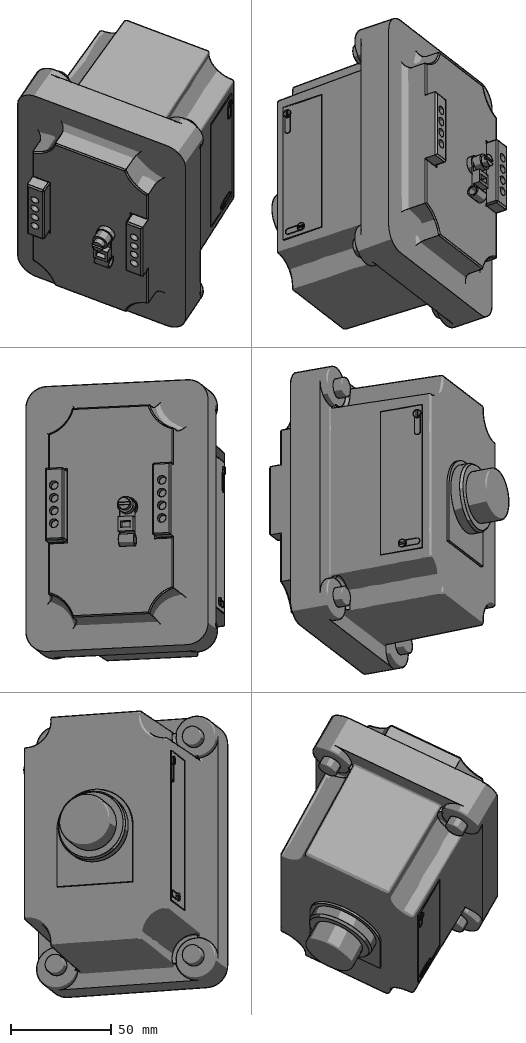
import cadquery as cq
import math


pick_margin = 0.1

flange_width = 93.7
flange_height = 134.9
flange_edge_depth = 16.6
corner_radius = 10.7
corner_x = flange_width / 2 - corner_radius
corner_z = flange_height / 2 - corner_radius
roof_rise = 1.6

boss_back = 20.8
boss_edge_radius = 1.1
boss_root_radius = 1.6
screw_x = 35.7
screw_z = 56.1
screw_head_radius = 5.0
screw_head_height = 5.1
screw_head_edge_radius = 0.7

body_back = 73.6
body_back_width = 75.0
body_back_height = 117.9
body_taper = 1.0
body_notch_radius = 12.5
body_corner_radius = 1.1
body_back_radius = 1.8
body_root_radius = 1.1
body_front = flange_edge_depth
body_spread = (body_back - body_front) * math.tan(math.radians(body_taper))

panel_width = 64.5
panel_height = 106.3
panel_front = -12.7
panel_notch_radius = 17.8
panel_root_radius = 4.7
panel_edge = 0.7
panel_notch_x = panel_width / 2 + panel_root_radius
panel_notch_z = panel_height / 2 + panel_root_radius

block_width = 9.5
block_top = 22.1
block_bottom = -14.5
block_front = -18.9
block_edge = 0.8
block_recess_width = 9.8
block_recess_top = 22.5
block_recess_bottom = -15.2
pin_hole_radius = 2.2
pin_hole_depth = 4.0
pin_hole_x = 27.8
pin_hole_top_z = 13.2
pin_hole_pitch = 6.5
pin_hole_count = 4

backing_radius = 19.7
backing_bottom = -29.0
backing_thickness = 1.2
collar_radius = 17.5
collar_back = 81.2
collar_edge_width = 0.8
collar_edge_length = 1.5
spigot_radius = 13.2
spigot_back = 92.7
spigot_edge_radius = 1.1

plate_inset_x = 36.4
plate_outer_x = 38.3
plate_front = 45.7
plate_back = 68.8
plate_half_height = 38.5
indicator_radius = 2.0
indicator_outer_x = 39.0
indicator_slot_width = 1.0
indicator_slot_depth = 0.4
upper_indicator = (66.2, 33.9)
lower_indicator = (58.0, -34.4)
track_width = 3.2
track_depth = 0.4
track_end_radius = 1.5
upper_track_bottom = 22.8
lower_track_back = 67.5

terminal_x = 9.3
terminal_z = 1.3
shoulder_radius = 4.6
shoulder_front = -15.4
shank_radius = 4.0
shank_front = -20.2
tip_radius = 3.0
tip_front = -23.3
tip_slot_width = 1.3
tip_slot_depth = 1.1
strip_width = 7.8
strip_thickness = 0.8
clip_top = -4.6
clip_bottom = -12.0
clip_front = -19.8
window_width = 5.0
window_height = 3.2
window_depth = 2.7
window_z = -8.5
eye_z = -15.9
eye_y = -15.8
eye_radius = 3.1
eye_bore_radius = 2.3


def facing(y):
    """Sketch plane at depth y: local axes are X and Z, and extrusion runs forward."""
    return cq.Workplane("XZ", origin=(0, y, 0))


def corners(x, z):
    return [(sx * x, sz * z) for sx in (-1, 1) for sz in (-1, 1)]


def box(x_range, y_range, z_range):
    sizes = [high - low for low, high in (x_range, y_range, z_range)]
    return cq.Workplane("XY").box(*sizes, centered=False).translate(
        (x_range[0], y_range[0], z_range[0]))


def corner_box(x, z, y_range, reach_x, reach_z):
    """Box between the points (x, z) and (reach_x, reach_z) over a range of depths."""
    return box((min(x, reach_x), max(x, reach_x)), y_range, (min(z, reach_z), max(z, reach_z)))


def cylinder(x, z, radius, back, front):
    return facing(back).center(x, z).circle(radius).extrude(back - front)


def make_flange():
    """Flange slab with a shallow roof that rises from its rim to the foot of the rear body."""
    slab = facing(flange_edge_depth).rect(flange_width, flange_height).extrude(flange_edge_depth)
    roof = (
        facing(flange_edge_depth).rect(flange_width, flange_height)
        .workplane(offset=-roof_rise)
        .rect(body_back_width, body_back_height).loft()
    )
    return slab.union(roof)


def make_corner_trim():
    """Waste around the rounded flange outline and the broken back edge of the corner bosses."""
    stock = facing(boss_back).rect(flange_width, flange_height).extrude(boss_back)
    outline = stock.edges("|Y").fillet(corner_radius)
    return stock.cut(outline.faces(">Y").edges().fillet(boss_edge_radius))


def make_boss(x, z):
    boss = cylinder(x, z, corner_radius, boss_back, 0)
    boss = boss.faces(">Y").edges().fillet(boss_edge_radius)
    outer = corner_box(x, z, (0, boss_back), math.copysign(flange_width / 2, x),
                       math.copysign(flange_height / 2, z))
    return boss.union(outer)


def make_screw_head(x, z):
    head = cylinder(x, z, screw_head_radius, boss_back + screw_head_height, boss_back)
    return head.faces(">Y").edges().fillet(screw_head_edge_radius)


def make_boss_root(x, z):
    """Fillet that fills the gap between a boss and the notch of the body around it."""
    outer = body_notch_radius
    wall = body_notch_radius - (body_back - boss_back) * math.tan(math.radians(body_taper))
    inner = wall - boss_root_radius
    top = boss_back + boss_root_radius
    bend = boss_root_radius * math.sqrt(0.5)
    ring = (
        cq.Workplane("XY").moveTo(inner, body_front).lineTo(inner, boss_back)
        .threePointArc((inner + bend, top - bend), (wall, top))
        .lineTo(outer, top).lineTo(outer, body_front).close()
        .revolve(360, (0, 0, 0), (0, 1, 0)).translate((x, 0, z))
    )
    reach_x = math.copysign(body_back_width / 2, x)
    reach_z = math.copysign(body_back_height / 2, z)
    return ring.intersect(corner_box(0, 0, (body_front, top), reach_x, reach_z))


def make_body():
    length = body_back - body_front
    body = (
        facing(body_back).rect(body_back_width, body_back_height)
        .workplane(offset=length)
        .rect(body_back_width + 2 * body_spread, body_back_height + 2 * body_spread).loft()
    )
    for x, z in corners(corner_x, corner_z):
        notch = facing(body_back).center(x, z).circle(body_notch_radius).extrude(length, taper=body_taper)
        opening = corner_box(x, z, (body_front, body_back), 2 * x, 2 * z)
        body = body.cut(notch).cut(opening)
    body = body.edges("not (<Y or >Y)").fillet(body_corner_radius)
    return body.faces(">Y").edges().fillet(body_back_radius)


def body_root_edges():
    """Edges of the line where the rear body meets the sloping roof."""
    reach_x = body_back_width / 2 + body_spread
    reach_z = body_back_height / 2 + body_spread
    top = body_front + roof_rise + pick_margin
    return cq.selectors.BoxSelector((-reach_x, body_front, -reach_z), (reach_x, top, reach_z))


def make_block_recess(side):
    """Shallow pocket, open at the side, in which a terminal block stands."""
    wall_x = panel_width / 2
    recess = box((wall_x - block_recess_width, wall_x), (panel_front, panel_front + panel_edge),
                 (block_recess_bottom, block_recess_top))
    return recess if side > 0 else recess.mirror("YZ")


def make_panel():
    """Rectangular panel with a concave bite, centred outside it, at each corner."""
    panel = facing(0).rect(panel_width, panel_height).extrude(-panel_front)
    for x, z in corners(panel_notch_x, panel_notch_z):
        panel = panel.cut(cylinder(x, z, panel_notch_radius, 0, panel_front))
    panel = panel.faces("<Y").edges().chamfer(panel_edge)
    for side in (-1, 1):
        panel = panel.cut(make_block_recess(side))
    return panel


def panel_root_edges():
    """Edges of the line where the front panel meets the flange."""
    reach_x = panel_width / 2 + panel_root_radius
    reach_z = panel_height / 2 + panel_root_radius
    return cq.selectors.BoxSelector((-reach_x, -pick_margin, -reach_z), (reach_x, pick_margin, reach_z))


def make_terminal_block(side):
    wall_x = panel_width / 2
    block_back = panel_front + panel_edge
    block = box((wall_x - block_width, wall_x), (block_front, block_back), (block_bottom, block_top))
    block = block.edges("<Y or (<X and |Y)").chamfer(block_edge)
    for index in range(pin_hole_count):
        z = pin_hole_top_z - index * pin_hole_pitch
        hole = cylinder(pin_hole_x, z, pin_hole_radius, block_front + pin_hole_depth, block_front)
        block = block.cut(hole)
    return block if side > 0 else block.mirror("YZ")


def make_connector():
    backing = cylinder(0, 0, backing_radius, body_back + backing_thickness, body_back)
    tongue = box((-backing_radius, backing_radius), (body_back, body_back + backing_thickness),
                 (backing_bottom, 0))
    collar = cylinder(0, 0, collar_radius, collar_back, body_back)
    collar = collar.faces(">Y").edges().chamfer(collar_edge_length, collar_edge_width)
    spigot = cylinder(0, 0, spigot_radius, spigot_back, body_back)
    spigot = spigot.faces(">Y").edges().fillet(spigot_edge_radius)
    return backing.union(tongue).union(collar).union(spigot)


def make_side_plate(side):
    """Plate on a side wall with two slotted indicator heads at the ends of shallow tracks."""
    upper_y, upper_z = upper_indicator
    lower_y, lower_z = lower_indicator
    half_track = track_width / 2
    half_slot = indicator_slot_width / 2
    track_x = (plate_outer_x - track_depth, plate_outer_x)
    slot_x = (indicator_outer_x - indicator_slot_depth, indicator_outer_x)

    plate = box((plate_inset_x, plate_outer_x), (plate_front, plate_back),
                (-plate_half_height, plate_half_height))
    upper_track = box(track_x, (upper_y - half_track, upper_y + half_track), (upper_track_bottom, upper_z))
    upper_track = upper_track.edges("|X and <Z").fillet(track_end_radius)
    lower_track = box(track_x, (lower_y, lower_track_back), (lower_z - half_track, lower_z + half_track))
    lower_track = lower_track.edges("|X and >Y").fillet(track_end_radius)
    plate = plate.cut(upper_track).cut(lower_track)

    for y, z in (upper_indicator, lower_indicator):
        head = cq.Workplane("YZ", origin=(plate_inset_x, y, z)).circle(indicator_radius)
        plate = plate.union(head.extrude(indicator_outer_x - plate_inset_x))
    upper_slot = box(slot_x, (upper_y - half_slot, upper_y + half_slot),
                     (upper_z - indicator_radius, upper_z + indicator_radius))
    lower_slot = box(slot_x, (lower_y - indicator_radius, lower_y + indicator_radius),
                     (lower_z - half_slot, lower_z + half_slot))
    plate = plate.cut(upper_slot).cut(lower_slot)
    return plate if side > 0 else plate.mirror("YZ")


def make_housing():
    housing = make_flange().union(make_body())
    housing = housing.edges(body_root_edges()).fillet(body_root_radius)
    for x, z in corners(corner_x, corner_z):
        housing = housing.union(make_boss(x, z))
    housing = housing.cut(make_corner_trim())
    for x, z in corners(corner_x, corner_z):
        housing = housing.union(make_boss_root(x, z))
    for x, z in corners(screw_x, screw_z):
        housing = housing.union(make_screw_head(x, z))
    housing = housing.union(make_panel())
    housing = housing.edges(panel_root_edges()).fillet(panel_root_radius)
    housing = housing.union(make_connector())
    for side in (-1, 1):
        housing = housing.union(make_terminal_block(side)).union(make_side_plate(side))
    return housing.clean()


def make_ground_terminal():
    strip_x = (terminal_x - strip_width / 2, terminal_x + strip_width / 2)
    shoulder = cylinder(terminal_x, terminal_z, shoulder_radius, panel_front, shoulder_front)
    shank = cylinder(terminal_x, terminal_z, shank_radius, shoulder_front, shank_front)
    tip = cylinder(terminal_x, terminal_z, tip_radius, shank_front, tip_front)
    tip_slot = box((terminal_x - tip_radius, terminal_x + tip_radius),
                   (tip_front, tip_front + tip_slot_depth),
                   (terminal_z - tip_slot_width / 2, terminal_z + tip_slot_width / 2))
    screw = shoulder.union(shank).union(tip.cut(tip_slot))

    strip = box(strip_x, (shoulder_front - strip_thickness, shoulder_front),
                (eye_z + eye_bore_radius, terminal_z))
    clip = box(strip_x, (clip_front, shoulder_front), (clip_bottom, clip_top))
    window = facing(clip_front + window_depth).center(terminal_x, window_z)
    window = window.rect(window_width, window_height).extrude(window_depth)
    eye = (
        cq.Workplane("YZ", origin=(strip_x[0], eye_y, eye_z))
        .circle(eye_radius).circle(eye_bore_radius).extrude(strip_width)
    )
    return screw.union(strip).union(clip.cut(window)).union(eye)


housing = make_housing()
ground_terminal = make_ground_terminal()
result = cq.Compound.makeCompound([housing.val(), ground_terminal.val()])